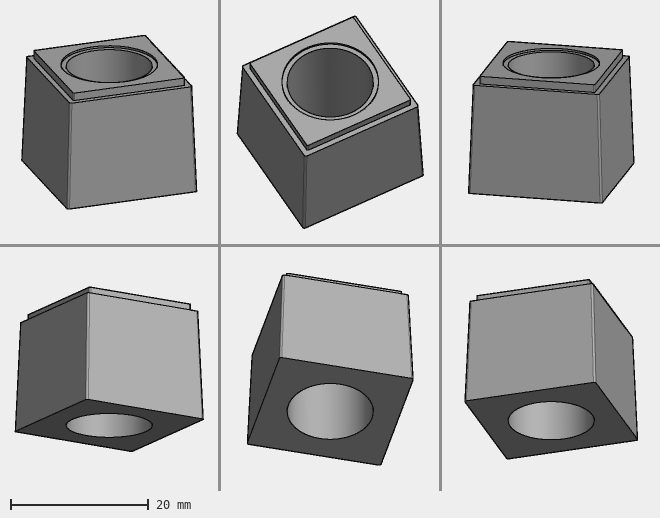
import cadquery as cq
import math

base_side = 20.0
total_height = 17.5
draft_angle = 2.0
body_corner_radius = 0.3

boss_side = 17.2
boss_height = 1.15
boss_corner_radius = 0.2

bore_diameter = 12.5
counterbore_diameter = 14.0
counterbore_depth = 0.3

body_height = total_height - boss_height
body_top_side = base_side - 2 * body_height * math.tan(math.radians(draft_angle))


def rounded_square(side, radius):
    """Square sketch centred on the origin, with rounded corners."""
    return cq.Sketch().rect(side, side).vertices().fillet(radius)


body = (
    cq.Workplane("XY")
    .placeSketch(
        rounded_square(base_side, body_corner_radius),
        rounded_square(body_top_side, body_corner_radius).moved(cq.Location(cq.Vector(0, 0, body_height))),
    )
    .loft()
)

boss = (
    cq.Workplane("XY", origin=(0, 0, body_height))
    .placeSketch(rounded_square(boss_side, boss_corner_radius))
    .extrude(boss_height)
)

result = (
    body.union(boss)
    .faces(">Z")
    .workplane(origin=(0, 0, total_height))
    .cboreHole(bore_diameter, counterbore_diameter, counterbore_depth)
)